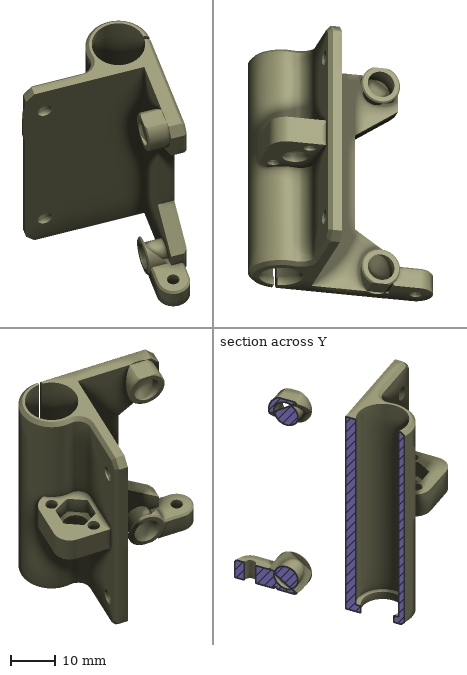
import cadquery as cq
import math

BODY_HEIGHT = 53.0
TUBE_RADIUS = 7.5
BORE_RADIUS = 6.05
LIP_RADIUS = 4.95
LIP_HEIGHT = 2.0
SLOT_WIDTH = 0.85

BACK_WALL_END = 28.2
BACK_WALL_FRONT = 3.55
WING_OUTER = 5.0
WING_INNER = 8.05
WING_END = TUBE_RADIUS - 32.0
BLEND_RADIUS = 3.0
EDGE_CHAMFER = 0.85
CORNER_CLIP = 2.0
NOTCH_FLOOR = 18.1
NOTCH_MOUTH_HALF = 18.35
NOTCH_FLOOR_HALF = 11.5
WING_HOLE_DIAMETER = 3.4
WING_HOLE_Y = -20.05
WING_HOLE_Z = 19.55

LUG_LEFT = -7.3
LUG_FRONT = -21.7
LUG_BACK = -5.7
LUG_BOTTOM = -2.6
LUG_TOP = 3.45
LUG_CORNER_RADIUS = 4.0
NUT_Y = -13.45
NUT_ACROSS_CORNERS = 9.3
NUT_DEPTH = 4.0
NUT_HOLE_DIAMETER = 6.0
SMALL_HOLE_DIAMETER = 2.8
LUG_HOLES = [(-4.0, -9.0), (2.0, -19.05)]

EAR_X = 32.2
EAR_Y = 2.75
EAR_RADIUS = 3.85
EAR_HEIGHT = 4.95
EAR_CHAMFER = 0.5

BOSS_X = 22.95
BOSS_RADIUS = 9.0 / 2
BOSS_Z = 27 - BOSS_RADIUS
BOSS_LENGTH = 5.15
SOCKET_RADIUS = 6.2 / 2
STEM_RADIUS = 6.0 / 2
RIM_THICKNESS = 0.5
RIM_CHAMFER = 0.3
BASE_DISK_THICKNESS = 0.1
UNDERCUT_START = 2.3
UNDERCUT_RISE = 0.87
FLOOR_START = 2.5
FLOOR_RISE = 0.9

HALF_HEIGHT = BODY_HEIGHT / 2


def walls_and_tube():
    blend_x = WING_OUTER - BLEND_RADIUS
    blend_y = -math.sqrt((TUBE_RADIUS + BLEND_RADIUS) ** 2 - blend_x ** 2)
    tangent_scale = TUBE_RADIUS / (TUBE_RADIUS + BLEND_RADIUS)
    tangent = (blend_x * tangent_scale, blend_y * tangent_scale)
    middle_angle = math.atan2(-blend_y, -blend_x) / 2
    blend_middle = (
        blend_x + BLEND_RADIUS * math.cos(middle_angle),
        blend_y + BLEND_RADIUS * math.sin(middle_angle),
    )
    body = (
        cq.Workplane("XY", origin=(0, 0, -HALF_HEIGHT))
        .moveTo(0, TUBE_RADIUS)
        .threePointArc((-TUBE_RADIUS, 0), tangent)
        .threePointArc(blend_middle, (WING_OUTER, blend_y))
        .lineTo(WING_OUTER, WING_END)
        .lineTo(WING_INNER, WING_END)
        .lineTo(WING_INNER, BACK_WALL_FRONT)
        .lineTo(BACK_WALL_END, BACK_WALL_FRONT)
        .lineTo(BACK_WALL_END, TUBE_RADIUS)
        .close()
        .extrude(BODY_HEIGHT)
    )
    body = body.edges("|Y and >X").chamfer(CORNER_CLIP)
    body = body.edges("|X and <Y").chamfer(CORNER_CLIP)

    tolerance = 0.005
    outer_faces = body.faces(">Y").vals()
    for face in body.faces().vals():
        box = face.BoundingBox()
        if box.xmax < WING_OUTER + tolerance:
            outer_faces.append(face)
    uprights = body.edges("|Z").vals()
    free_ends = body.edges("|Z and (>X or <Y)").vals()
    bevels = []
    for edge in [edge for face in outer_faces for edge in face.Edges()]:
        is_upright = any(edge.isSame(upright) for upright in uprights)
        is_free_end = any(edge.isSame(end) for end in free_ends)
        already_listed = any(edge.isSame(other) for other in bevels)
        if (is_free_end or not is_upright) and not already_listed:
            bevels.append(edge)
    return body.newObject(bevels).chamfer(EDGE_CHAMFER)


def notch():
    return (
        cq.Workplane("XZ", origin=(0, TUBE_RADIUS, 0))
        .polyline([
            (BACK_WALL_END, -NOTCH_MOUTH_HALF),
            (NOTCH_FLOOR, -NOTCH_FLOOR_HALF),
            (NOTCH_FLOOR, NOTCH_FLOOR_HALF),
            (BACK_WALL_END, NOTCH_MOUTH_HALF),
        ])
        .close()
        .extrude(TUBE_RADIUS - BACK_WALL_FRONT)
    )


def bore_and_slot():
    lip_hole = cq.Workplane("XY").circle(LIP_RADIUS).extrude(BODY_HEIGHT, both=True)
    bore = (
        cq.Workplane("XY", origin=(0, 0, LIP_HEIGHT - HALF_HEIGHT))
        .circle(BORE_RADIUS)
        .extrude(BODY_HEIGHT)
    )
    slot = cq.Workplane("XY").box(SLOT_WIDTH, TUBE_RADIUS, BODY_HEIGHT, centered=(True, False, True))
    return lip_hole.union(bore).union(slot)


def wing_holes():
    return (
        cq.Workplane("YZ")
        .pushPoints([(WING_HOLE_Y, -WING_HOLE_Z), (WING_HOLE_Y, WING_HOLE_Z)])
        .circle(WING_HOLE_DIAMETER / 2)
        .extrude(WING_INNER)
    )


def nut_lug():
    lug = (
        cq.Workplane("XY")
        .box(WING_OUTER + EDGE_CHAMFER - LUG_LEFT, LUG_BACK - LUG_FRONT, LUG_TOP - LUG_BOTTOM, centered=False)
        .translate((LUG_LEFT, LUG_FRONT, LUG_BOTTOM))
        .edges("|Z and <X")
        .fillet(LUG_CORNER_RADIUS)
    )
    top = cq.Workplane("XY", origin=(0, 0, LUG_TOP))
    nut = (
        top.center(0, NUT_Y)
        .transformed(rotate=(0, 0, 90))
        .polygon(6, NUT_ACROSS_CORNERS)
        .extrude(-NUT_DEPTH)
    )
    through = LUG_BOTTOM - LUG_TOP
    nut_hole = top.center(0, NUT_Y).circle(NUT_HOLE_DIAMETER / 2).extrude(through)
    small_holes = top.pushPoints(LUG_HOLES).circle(SMALL_HOLE_DIAMETER / 2).extrude(through)
    return lug.cut(nut).cut(nut_hole).cut(small_holes)


def ear():
    start = BOSS_X + STEM_RADIUS
    base = cq.Workplane("XY", origin=(0, EAR_Y, -HALF_HEIGHT))
    bar = base.moveTo((start + EAR_X) / 2, 0).rect(EAR_X - start, 2 * EAR_RADIUS).extrude(EAR_HEIGHT)
    tip = base.moveTo(EAR_X, 0).circle(EAR_RADIUS).extrude(EAR_HEIGHT)
    outline = bar.union(tip).faces(">Z").edges("not <X").chamfer(EAR_CHAMFER)
    hole = base.moveTo(EAR_X, 0).circle(SMALL_HOLE_DIAMETER / 2).extrude(EAR_HEIGHT)
    return outline.cut(hole)


def boss_cylinder(radius, length, start=0):
    """Cylinder on the upper boss axis, growing out of the wall's front face."""
    return (
        cq.Workplane("XZ", origin=(BOSS_X, BACK_WALL_FRONT - start, BOSS_Z))
        .circle(radius)
        .extrude(length)
    )


def below_slope(start, rise):
    """Wedge between the wall and a plane rising toward the notch, square to its edge."""
    reach = 2 * BOSS_RADIUS
    mouth_angle = math.degrees(math.atan2(BACK_WALL_END - NOTCH_FLOOR, NOTCH_MOUTH_HALF - NOTCH_FLOOR_HALF))
    return (
        cq.Workplane("XY")
        .polyline([(start, 0), (start - reach, 0), (start - reach, -rise * reach)])
        .close()
        .extrude(BOSS_RADIUS, both=True)
        .rotate((0, 0, 0), (0, 1, 0), -mouth_angle)
        .translate((BOSS_X, BACK_WALL_FRONT, BOSS_Z))
    )


def upper_boss():
    shell = boss_cylinder(BOSS_RADIUS, BOSS_LENGTH).faces("<Y").edges().chamfer(RIM_CHAMFER)
    rim_start = BOSS_LENGTH - RIM_THICKNESS
    keep_rim = boss_cylinder(2 * BOSS_RADIUS, 2 * BOSS_LENGTH, rim_start)
    undercut = below_slope(UNDERCUT_START, UNDERCUT_RISE).cut(keep_rim)
    stem = boss_cylinder(STEM_RADIUS, rim_start)
    socket = boss_cylinder(SOCKET_RADIUS, BOSS_LENGTH).cut(below_slope(FLOOR_START, FLOOR_RISE))
    boss = shell.cut(undercut).union(stem).cut(socket)
    trim = cq.Workplane("XY").box(4 * BACK_WALL_END, 4 * BACK_WALL_END, BODY_HEIGHT)
    disk = boss_cylinder(BOSS_RADIUS, BASE_DISK_THICKNESS)
    disk = disk.cut(undercut).cut(socket)
    return boss.intersect(trim).union(disk), socket


boss, socket = upper_boss()
body = walls_and_tube().union(nut_lug()).cut(bore_and_slot())
body = body.cut(notch()).cut(wing_holes()).union(ear())
body = body.union(boss).union(boss.mirror("XY"))
result = body.cut(socket).cut(socket.mirror("XY"))